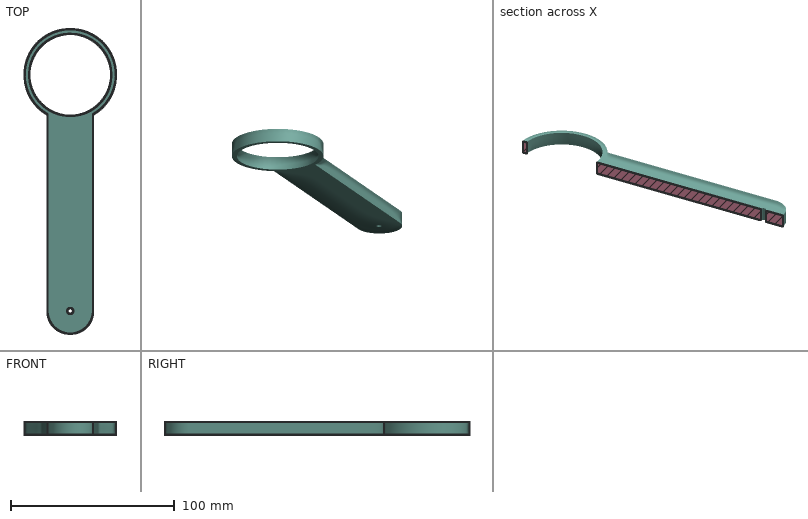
import cadquery as cq
import math

thickness = 8.0
ring_outer_diameter = 56.0
ring_inner_diameter = 50.0
handle_width = 28.0
handle_side_length = 120.0
hanging_hole_diameter = 3.5

ring_outer_radius = ring_outer_diameter / 2
end_radius = handle_width / 2
handle_start_y = -math.sqrt(ring_outer_radius**2 - end_radius**2)
end_center_y = handle_start_y - handle_side_length


def disc(diameter, center_y):
    """Full-thickness cylinder standing on the XY plane, centred on X = 0."""
    return cq.Workplane("XY").center(0, center_y).circle(diameter / 2).extrude(thickness)


def handle():
    """Bar from the ring centre to a fully rounded end."""
    return (
        cq.Workplane("XY")
        .moveTo(-end_radius, 0)
        .lineTo(-end_radius, end_center_y)
        .threePointArc((0, end_center_y - end_radius), (end_radius, end_center_y))
        .lineTo(end_radius, 0)
        .close()
        .extrude(thickness)
    )


body = disc(ring_outer_diameter, 0).union(handle())
ring_opening = disc(ring_inner_diameter, 0)
hanging_hole = disc(hanging_hole_diameter, end_center_y)

result = body.cut(ring_opening).cut(hanging_hole)